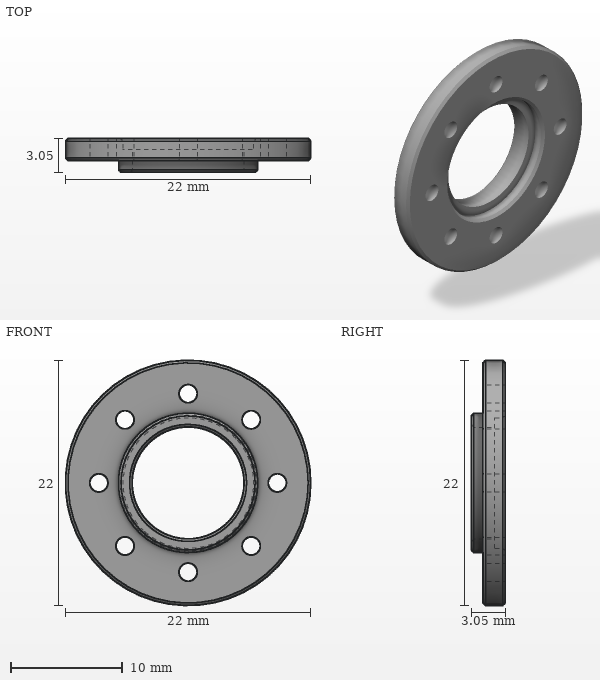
import cadquery as cq

flange_diameter = 22.0
flange_thickness = 2.0
hub_diameter = 12.5
hub_height = 1.05
bore_diameter = 10.0
edge_chamfer = 0.25
recess_diameter = 11.7
recess_depth = 1.0
hole_count = 8
hole_diameter = 1.6
hole_circle_diameter = 16.0

total_thickness = flange_thickness + hub_height


def chamfered_disc(diameter, thickness):
    """Disc with its back face at Y = 0, growing toward -Y, both rims chamfered."""
    disc = cq.Workplane("XZ").circle(diameter / 2).extrude(thickness)
    return disc.edges().chamfer(edge_chamfer)


def bore_cutter():
    """Through bore with a chamfered front rim and a chamfered recess in the back face."""
    radius = bore_diameter / 2
    recess_radius = recess_diameter / 2
    return (
        cq.Workplane("XY")
        .moveTo(0, 0)
        .lineTo(recess_radius + edge_chamfer, 0)
        .lineTo(recess_radius, -edge_chamfer)
        .lineTo(recess_radius, -recess_depth)
        .lineTo(radius, -recess_depth)
        .lineTo(radius, edge_chamfer - total_thickness)
        .lineTo(radius + edge_chamfer, -total_thickness)
        .lineTo(0, -total_thickness)
        .close()
        .revolve(360, (0, 0, 0), (0, 1, 0))
    )


def bolt_hole_cutters():
    """Evenly spaced holes through the flange."""
    return (
        cq.Workplane("XZ")
        .polarArray(hole_circle_diameter / 2, 0, 360, hole_count)
        .circle(hole_diameter / 2)
        .extrude(flange_thickness)
    )


flange = chamfered_disc(flange_diameter, flange_thickness)
hub = chamfered_disc(hub_diameter, total_thickness)
result = flange.union(hub).cut(bore_cutter()).cut(bolt_hole_cutters())